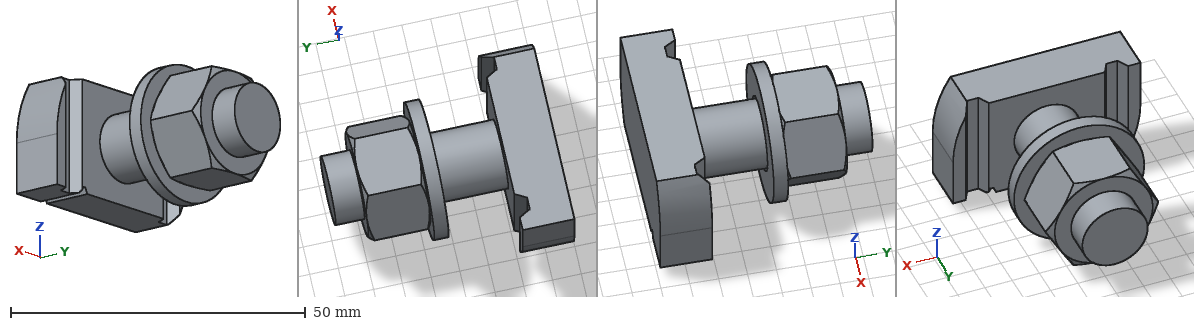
import cadquery as cq
import math

total_length = 39.0
bolt_diameter = 12.0

head_width = 34.5
head_height = 20.0
head_thickness = 9.0
corner_radius = 20.0
corner_start = 1.0

groove_offset = 12.8
groove_top_width = 4.3
groove_floor_width = 2.05
groove_depth = 2.0

notch_offset = 10.1
notch_mouth_width = 1.6
notch_floor_width = 0.5
notch_depth = 1.05

washer_diameter = 24.0
washer_hole_diameter = 13.0
washer_thickness = 2.5

nut_across_flats = 18.0
nut_height = 10.8
nut_chamfer_angle = 30.0
bolt_protrusion = 5.0

nut_start = total_length - bolt_protrusion - nut_height
washer_start = nut_start - washer_thickness


def section_at(y):
    """Sketch plane facing +Y; its local x runs along -X and its local y along +Z."""
    return cq.Workplane("XZ", origin=(0, y, 0)).transformed(rotate=(0, 180, 0))


def trapezoid(plane, center, mouth_level, mouth_width, floor_level, floor_width):
    """Closed trapezoid profile, symmetric about the local x position center."""
    return plane.polyline([
        (center - mouth_width / 2, mouth_level),
        (center + mouth_width / 2, mouth_level),
        (center + floor_width / 2, floor_level),
        (center - floor_width / 2, floor_level),
    ]).close()


def make_head():
    half_width = head_width / 2
    half_height = head_height / 2

    arc_angle = math.asin((half_height + corner_start) / corner_radius)

    def arc_point(angle):
        x = half_width - corner_radius * (1 - math.cos(angle))
        z = corner_radius * math.sin(angle) - corner_start
        return x, z

    mid_x, mid_z = arc_point(arc_angle / 2)
    end_x, end_z = arc_point(arc_angle)
    head = (
        cq.Workplane("XZ")
        .moveTo(half_width, -half_height)
        .lineTo(half_width, -corner_start)
        .threePointArc((mid_x, mid_z), (end_x, end_z))
        .lineTo(-half_width, half_height)
        .lineTo(-half_width, corner_start)
        .threePointArc((-mid_x, -mid_z), (-end_x, -end_z))
        .close()
        .extrude(-head_thickness)
    )

    for side in (-1, 1):
        groove = trapezoid(
            cq.Workplane("XY"), side * groove_offset,
            head_thickness, groove_top_width,
            head_thickness - groove_depth, groove_floor_width,
        ).extrude(head_height / 2, both=True)
        head = head.cut(groove)

    notch = trapezoid(
        cq.Workplane("XZ"), notch_offset,
        -half_height, notch_mouth_width,
        notch_depth - half_height, notch_floor_width,
    ).extrude(-head_thickness)
    return head.cut(notch)


def make_bolt():
    shank_length = total_length - head_thickness
    shank = section_at(head_thickness).circle(bolt_diameter / 2).extrude(shank_length)
    return make_head().union(shank)


def make_washer():
    return (
        section_at(washer_start)
        .circle(washer_diameter / 2)
        .circle(washer_hole_diameter / 2)
        .extrude(washer_thickness)
    )


def make_nut():
    across_corners = nut_across_flats / math.cos(math.radians(30))
    prism = section_at(nut_start).polygon(6, across_corners).extrude(nut_height)

    face_radius = nut_across_flats / 2
    corner_reach = across_corners / 2
    bevel = (corner_reach - face_radius) * math.tan(math.radians(nut_chamfer_angle))
    nut_end = nut_start + nut_height
    blank = (
        cq.Workplane("XY")
        .polyline([
            (0, nut_start),
            (face_radius, nut_start),
            (corner_reach, nut_start + bevel),
            (corner_reach, nut_end - bevel),
            (face_radius, nut_end),
            (0, nut_end),
        ])
        .close()
        .revolve(360, (0, 0, 0), (0, 1, 0))
    )
    bore = section_at(nut_start).circle(bolt_diameter / 2).extrude(nut_height)
    return prism.intersect(blank).cut(bore)


bolt = make_bolt()
washer = make_washer()
nut = make_nut()

result = cq.Compound.makeCompound([*bolt.solids().vals(), washer.val(), *nut.solids().vals()])